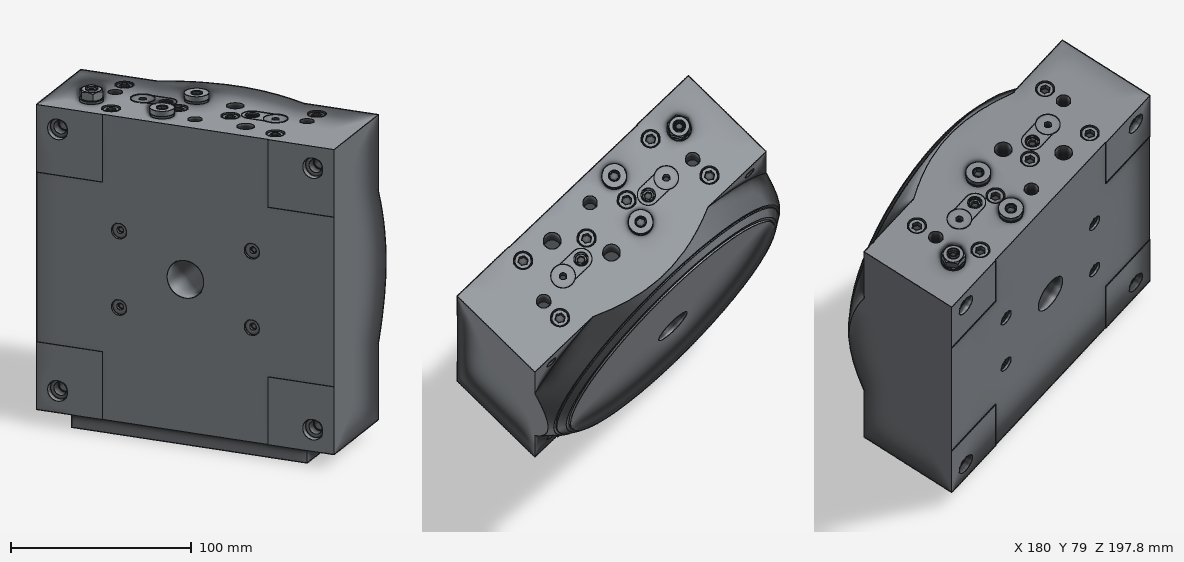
import cadquery as cq
import math

block_side = 180.0
half_side = block_side / 2
total_depth = 79.0
top_z = half_side

shoulder_y = 61.3
shoulder_radius = 100.5
shoulder_top_y = 74.0
shoulder_top_radius = shoulder_radius - (shoulder_top_y - shoulder_y)
lid_base_radius = 86.2
lid_chamfer_y = 74.7
lid_top_radius = 81.9
lid_top_y = 77.7
rim_radius = 79.7

bore_diameter = 22.1
pad_side = 40.0
pad_height = 0.3
corner_hole_offset = 77.1
corner_hole_diameter = 6.7
corner_step_diameter = 8.0
corner_step_depth = 9.9
corner_counterbore_diameter = 12.0
corner_counterbore_depth = 4.0
tapped_hole_x = 40.1
tapped_hole_z = 22.5
tapped_hole_diameter = 3.2
tapped_hole_depth = 11.9
tapped_step_diameter = 4.0
tapped_step_depth = 4.0
tapped_counterbore_diameter = 9.0
tapped_counterbore_depth = 2.0
drill_point_angle = 118.0

plate_length = 142.4
plate_height = 9.7
plate_front_y = 5.7
plate_back_y = 60.1

screw_pairs = [(58.1, 48.8), (15.6, 26.7), (49.6, 11.0)]
screw_places = [(side * x, y) for x, y in screw_pairs for side in (-1, 1)]
screw_counterbore_diameter = 10.5
screw_head_diameter = 9.0
screw_head_sink = 0.5
screw_gap_depth = 4.0
screw_socket_width = 5.0
screw_socket_depth = 4.0
screw_socket_turn = 30.0

pilot_places = [(-58.0, 35.8), (58.0, 35.8), (0.0, 13.6)]
pilot_diameter = 8.0
pilot_depth = 15.8
port_places = [(11.7, 42.3), (30.3, 14.5)]
port_diameter = 9.7
port_depth = 15.8

recess_y = 33.0
disc_x = 40.1
disc_diameter = 13.6
disc_depth = 0.4
disc_hole_diameter = 4.0
disc_hole_depth = 6.0
slot_end_x = 26.1
slot_width = 12.0
slot_depth = 0.2
slot_counterbore_diameter = 8.0
slot_counterbore_depth = 1.2
slot_step_diameter = 6.3
slot_step_depth = 2.0
slot_socket_width = 4.0
slot_socket_depth = 4.0

plug_places = [(-11.5, 42.0), (-19.5, 12.9)]
plug_diameter = 13.8
plug_height = 4.5
plug_seal_diameter = 13.5
plug_seal_height = 1.4
plug_socket_width = 5.0
plug_socket_depth = 3.2
plug_entry_diameter = 6.3
plug_entry_depth = 0.4

fitting_place = (-64.7, 18.4)
fitting_washer_diameter = 13.5
fitting_washer_height = 1.4
fitting_hex_width = 11.9
fitting_hex_height = 5.3
fitting_hex_chamfer_height = 0.8
fitting_hex_chamfer_width = 1.2
fitting_stud_diameter = 7.0
fitting_stud_chamfer = 0.5
fitting_height = 8.1
fitting_bore_diameter = 4.0
fitting_bore_depth = 3.2
fitting_countersink = 0.5


def upright_cylinder(place, diameter, bottom, height):
    x, y = place
    return cq.Workplane("XY", origin=(x, y, bottom)).circle(diameter / 2).extrude(height)


def top_hole(place, diameter, depth):
    return upright_cylinder(place, diameter, top_z - depth, depth)


def across_corners(flat_width):
    return flat_width / math.cos(math.pi / 6)


def upright_hexagon(place, flat_width, bottom, height, turn=0):
    x, y = place
    hexagon = cq.Workplane("XY").polygon(6, across_corners(flat_width)).extrude(height)
    return hexagon.rotate((0, 0, 0), (0, 0, 1), turn).translate((x, y, bottom))


def face_hole(place, diameter, depth):
    x, z = place
    return cq.Workplane("XZ", origin=(x, 0, z)).circle(diameter / 2).extrude(-depth)


def drilled_hole(place, diameter, depth):
    x, z = place
    radius = diameter / 2
    tip = depth + radius / math.tan(math.radians(drill_point_angle / 2))
    profile = cq.Workplane("XY").polyline([(0, 0), (radius, 0), (radius, depth), (0, tip)]).close()
    return profile.revolve(360, (0, 0), (0, 1)).translate((x, 0, z))


def mirrored_places(x, z):
    return [(sx * x, sz * z) for sx in (-1, 1) for sz in (-1, 1)]


def make_block():
    envelope = cq.Workplane("XY").box(block_side, total_depth, block_side, centered=(True, False, True))
    square_base = cq.Workplane("XY").box(block_side, shoulder_y, block_side, centered=(True, False, True))
    round_profile = [
        (0, shoulder_y),
        (shoulder_radius, shoulder_y),
        (shoulder_top_radius, shoulder_top_y),
        (lid_base_radius, shoulder_top_y),
        (lid_base_radius, lid_chamfer_y),
        (lid_top_radius, lid_top_y),
        (rim_radius, lid_top_y),
        (rim_radius, total_depth),
        (0, total_depth),
    ]
    round_top = cq.Workplane("XY").polyline(round_profile).close().revolve(360, (0, 0), (0, 1))
    return square_base.union(round_top.intersect(envelope))


def make_connection_plate():
    return cq.Workplane("XY", origin=(0, plate_front_y, -half_side - plate_height)).box(
        plate_length, plate_back_y - plate_front_y, plate_height, centered=(True, False, False)
    )


def cut_mounting_face(body):
    relief_width = block_side - 2 * pad_side
    for width, height in ((relief_width, block_side), (block_side, relief_width)):
        relief = cq.Workplane("XZ").rect(width, height).extrude(-pad_height)
        body = body.cut(relief)
    body = body.cut(face_hole((0, 0), bore_diameter, total_depth))
    for place in mirrored_places(corner_hole_offset, corner_hole_offset):
        body = body.cut(face_hole(place, corner_hole_diameter, total_depth))
        body = body.cut(face_hole(place, corner_step_diameter, corner_step_depth))
        body = body.cut(face_hole(place, corner_counterbore_diameter, corner_counterbore_depth))
    for place in mirrored_places(tapped_hole_x, tapped_hole_z):
        body = body.cut(drilled_hole(place, tapped_hole_diameter, tapped_hole_depth))
        body = body.cut(face_hole(place, tapped_step_diameter, tapped_step_depth))
        body = body.cut(face_hole(place, tapped_counterbore_diameter, tapped_counterbore_depth))
    return body


def sunk_screw_cut(place):
    head = top_hole(place, screw_head_diameter, screw_gap_depth)
    gap = top_hole(place, screw_counterbore_diameter, screw_gap_depth).cut(head)
    sink = top_hole(place, screw_counterbore_diameter, screw_head_sink)
    socket_bottom = top_z - screw_socket_depth
    socket = upright_hexagon(place, screw_socket_width, socket_bottom, screw_socket_depth, screw_socket_turn)
    return gap.union(sink).union(socket)


def keyhole_cut(side):
    disc_place = (side * disc_x, recess_y)
    slot_place = (side * slot_end_x, recess_y)
    slot_run = disc_x - slot_end_x
    slot = (
        cq.Workplane("XY", origin=(side * (disc_x + slot_end_x) / 2, recess_y, top_z - slot_depth))
        .slot2D(slot_run + slot_width, slot_width)
        .extrude(slot_depth)
    )
    socket = upright_hexagon(slot_place, slot_socket_width, top_z - slot_socket_depth, slot_socket_depth)
    return (
        slot.union(top_hole(disc_place, disc_diameter, disc_depth))
        .union(top_hole(disc_place, disc_hole_diameter, disc_hole_depth))
        .union(top_hole(slot_place, slot_counterbore_diameter, slot_counterbore_depth))
        .union(top_hole(slot_place, slot_step_diameter, slot_step_depth))
        .union(socket)
    )


def cut_top_face(body):
    for side in (-1, 1):
        body = body.cut(keyhole_cut(side))
    for place in screw_places:
        body = body.cut(sunk_screw_cut(place))
    for place in pilot_places:
        body = body.cut(top_hole(place, pilot_diameter, pilot_depth))
    for place in port_places:
        body = body.cut(top_hole(place, port_diameter, port_depth))
    return body


def make_housing():
    body = make_block().union(make_connection_plate())
    return cut_top_face(cut_mounting_face(body))


def make_plug(place):
    seal = upright_cylinder(place, plug_seal_diameter, top_z, plug_seal_height)
    head = upright_cylinder(place, plug_diameter, top_z + plug_seal_height, plug_height - plug_seal_height)
    socket_bottom = top_z + plug_height - plug_socket_depth
    socket = upright_hexagon(place, plug_socket_width, socket_bottom, plug_socket_depth)
    entry_bottom = top_z + plug_height - plug_entry_depth
    entry = upright_cylinder(place, plug_entry_diameter, entry_bottom, plug_entry_depth)
    return seal.union(head).cut(socket).cut(entry)


def make_bleed_fitting(place):
    washer = upright_cylinder(place, fitting_washer_diameter, top_z, fitting_washer_height)
    hex_bottom = top_z + fitting_washer_height
    hexagon = upright_hexagon(place, fitting_hex_width, hex_bottom, fitting_hex_height)
    crown = upright_cylinder(place, across_corners(fitting_hex_width), hex_bottom, fitting_hex_height)
    crown = crown.edges().chamfer(fitting_hex_chamfer_height, fitting_hex_chamfer_width)
    stud = upright_cylinder(place, fitting_stud_diameter, top_z, fitting_height)
    stud = stud.faces(">Z").chamfer(fitting_stud_chamfer)
    bore_bottom = top_z + fitting_height - fitting_bore_depth
    bore = upright_cylinder(place, fitting_bore_diameter, bore_bottom, fitting_bore_depth)
    countersink = cq.Workplane(
        cq.Solid.makeCone(
            fitting_bore_diameter / 2,
            fitting_bore_diameter / 2 + fitting_countersink,
            fitting_countersink,
            pnt=cq.Vector(*place, top_z + fitting_height - fitting_countersink),
        )
    )
    return washer.union(hexagon.intersect(crown)).union(stud).cut(bore).cut(countersink)


housing = make_housing()
plugs = [make_plug(place) for place in plug_places]
bleed_fitting = make_bleed_fitting(fitting_place)

result = cq.Compound.makeCompound([housing.val(), *[plug.val() for plug in plugs], bleed_fitting.val()])